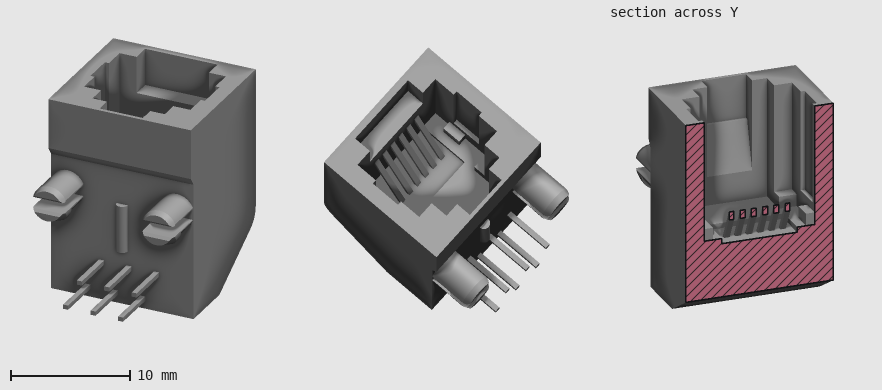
import cadquery as cq
import math


width = 13.29
height = 18.03
back_y = 12.05
lip_depth = 0.52
lip_bottom = 13.43
lip_slope_bottom = 12.65
base_depth = 5.01
base_slope = math.radians(30)
back_corner_radius = 2.0

cavity_half_width = 4.95
cavity_front = 2.88
cavity_back = 9.77
cavity_floor = 7.21
step_half_width = 3.37
step_front = 1.23
key_slot_back = 11.43
key_slot_floor = 14.62
groove_half_width = 5.34
groove_front = 4.92
groove_back = 7.72
groove_floor = 9.02
latch_half_width = 2.02
latch_front = -0.2
latch_ramp_front = 0.09
latch_floor = 14.06
latch_ramp_angle = math.radians(75)

stop_height = 1.08
corner_stop_back = 4.02
side_stop_half_gap = 4.18
side_stop_front = 6.44
side_stop_back = 8.19

well_front = 5.1
well_floor = 6.75
contact_count = 6
contact_pitch = 1.01
contact_width = 0.49
contact_thickness = 0.4
contact_foot_y = 6.76
contact_top = 12.62

pin_pitch = 1.28
pin_width = 0.47
pin_height = 0.4
pin_length = 4.33
pin_rows = (0.94, 3.5)

peg_x = 5.1
peg_z = 9.85
peg_radius = 1.6
peg_half_width = 1.48
peg_length = 4.0
peg_slot = 1.01
peg_slot_chamfer = 0.23
taper_start = 3.4
taper_angle = math.radians(20)
barb_start = 2.27
barb_radius = peg_half_width
barb_drop = 0.54

rib_radius = lip_depth
rib_bottom = 5.03
rib_top = 9.38


def block(x0, x1, y0, y1, z0, z1):
    """Box between two opposite corners."""
    return cq.Workplane("XY").box(x1 - x0, y1 - y0, z1 - z0, centered=False).translate((x0, y0, z0))


def centred_block(half_width, y0, y1, z0, z1):
    """Box centred across the jack."""
    return block(-half_width, half_width, y0, y1, z0, z1)


def side_profile(points, centre_x, thickness):
    """Prism from a closed (Y, Z) outline, centred on centre_x."""
    start_plane = cq.Workplane("YZ", origin=(centre_x - thickness / 2, 0, 0))
    return start_plane.polyline(points).close().extrude(thickness)


def housing():
    slope_top = (back_y - base_depth) * math.tan(base_slope)
    outline = [
        (0, 0),
        (base_depth, 0),
        (back_y, slope_top),
        (back_y, height),
        (-lip_depth, height),
        (-lip_depth, lip_bottom),
        (0, lip_slope_bottom),
    ]
    back_corner = cq.selectors.NearestToPointSelector((0, back_y, slope_top))
    return side_profile(outline, 0, width).edges(back_corner).fillet(back_corner_radius)


def latch_notch():
    ramp_drop = (step_front - latch_ramp_front) * math.tan(latch_ramp_angle)
    outline = [
        (latch_front, height),
        (latch_front, latch_floor),
        (latch_ramp_front, latch_floor),
        (step_front, latch_floor - ramp_drop),
        (step_front, height),
    ]
    return side_profile(outline, 0, 2 * latch_half_width)


def cavity():
    space = centred_block(cavity_half_width, cavity_front, cavity_back, cavity_floor, height)
    space = space.union(centred_block(step_half_width, step_front, cavity_back, cavity_floor, height))
    space = space.union(centred_block(step_half_width, cavity_front, key_slot_back, key_slot_floor, height))
    space = space.union(centred_block(groove_half_width, groove_front, groove_back, groove_floor, height))
    space = space.union(centred_block(step_half_width, well_front, cavity_back, well_floor, height))
    return space.union(latch_notch())


def floor_stops():
    top = cavity_floor + stop_height
    corner = block(step_half_width, cavity_half_width, cavity_front, corner_stop_back, cavity_floor, top)
    side = block(side_stop_half_gap, cavity_half_width, side_stop_front, side_stop_back, cavity_floor, top)
    right_stops = corner.union(side)
    return right_stops.union(right_stops.mirror("YZ"))


def contact(x):
    """Wire leaning from the back wall down to the well floor."""
    outline = [
        (contact_foot_y, well_floor),
        (cavity_back, contact_top),
        (cavity_back + contact_thickness, contact_top),
        (contact_foot_y + contact_thickness, well_floor),
    ]
    return side_profile(outline, x, contact_width)


def pin(x, z):
    straight = centred_block(pin_width / 2, -pin_length, 0, -pin_height / 2, pin_height / 2)
    return straight.translate((x, 0, z))


def peg(x):
    """Split peg: round body with side flats, barb under the lower half, tapered tip."""
    half_slot = peg_slot / 2
    body = cq.Workplane("XZ").circle(peg_radius).extrude(peg_length)
    lower_half = centred_block(barb_radius, -peg_length, 0, -2 * peg_radius, -half_slot)
    barb = (
        cq.Workplane("XZ", origin=(0, -barb_start, -barb_drop))
        .circle(barb_radius)
        .extrude(peg_length - barb_start)
        .intersect(lower_half)
    )
    base_radius = peg_radius + taper_start * math.tan(taper_angle)
    tip_radius = peg_radius - (peg_length - taper_start) * math.tan(taper_angle)
    taper = (
        cq.Workplane("XY")
        .polyline([(0, 0), (base_radius, 0), (tip_radius, -peg_length), (0, -peg_length)])
        .close()
        .revolve(360, (0, 0, 0), (0, 1, 0))
    )
    flats = centred_block(peg_half_width, -peg_length, 0, -2 * peg_radius, 2 * peg_radius)
    flared = half_slot + peg_slot_chamfer
    slot_outline = [
        (0, -half_slot),
        (0, half_slot),
        (peg_slot_chamfer - peg_length, half_slot),
        (-peg_length, flared),
        (-peg_length, -flared),
        (peg_slot_chamfer - peg_length, -half_slot),
    ]
    slot = side_profile(slot_outline, 0, 4 * peg_radius)
    return body.union(barb).intersect(taper).intersect(flats).cut(slot).translate((x, 0, peg_z))


def rib():
    full = cq.Workplane("XY", origin=(0, 0, rib_bottom)).circle(rib_radius).extrude(rib_top - rib_bottom)
    return full.intersect(centred_block(rib_radius, -rib_radius, 0, rib_bottom, rib_top))


result = housing().cut(cavity()).union(floor_stops())

for index in range(contact_count):
    place = index - (contact_count - 1) / 2
    result = result.union(contact(place * contact_pitch))
    result = result.union(pin(place * pin_pitch, pin_rows[index % 2]))

for side in (-1, 1):
    result = result.union(peg(side * peg_x))

result = result.union(rib())